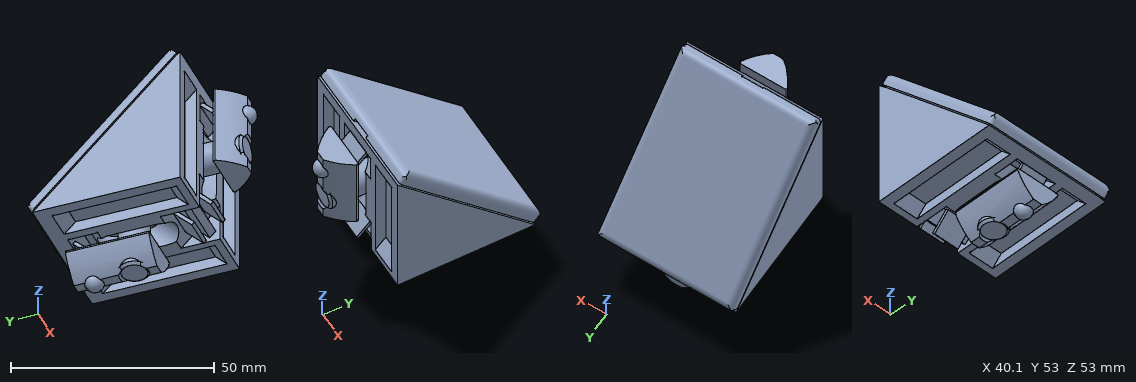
import cadquery as cq
import math

ROOT2 = math.sqrt(2)
SYMMETRY_NORMAL = (0, 1, -1)

width = 40.1
leg = 39.0
pocket_depth = 3.0
pocket_bottom = 2.1
pocket_top = 35.0
side_pocket_width = 8.0
side_pocket_x = 12.95
window_width = 13.0
window_bottom = 27.05
corner_width = 13.85
corner_cut = 10.35
corner_floor = corner_cut / ROOT2

rib_thickness = 2.3
rib_tip = 2.75
tab_width = 8.0
tab_thickness = 1.0
inner_tab_along = 3.0
inner_tab_tip = 0.5
outer_tab_along = 23.2
outer_tab_tip = 20.15
outer_tab_root = pocket_top / ROOT2

slot_radius = 4.4
slot_low = 13.2
slot_high = 24.95
slot_depth = 6.15

cover_gap = 0.4
cover_length = 54.2
cover_thickness = 3.5
cover_edge_radius = 2.0
cover_corner_radius = 1.0
cover_base = leg / ROOT2 + cover_gap
cover_notch_width = 6.15
cover_notch_depth = 6.0
cover_notch_height = 0.75
ridge_length = 34.05

nut_gap = 3.55
nut_height = 6.95
nut_length = 22.05
nut_end = 13.4
nut_half_width = 6.95
nut_shoulder = 0.6
nut_back_half_width = 6.8
nut_nose_half_width = 1.45
nut_flank_half_width = 5.05
nut_flank_height = 3.45
ball_radius = 2.5
ball_place = 30.5
ball_center = 9.9

screw_diameter = 8.0
screw_tip_diameter = 6.6
screw_place = 19.95
screw_reach = 9.9


def mirrored(body):
    """The same body on the other mounting face."""
    return body.mirror(SYMMETRY_NORMAL, (0, 0, 0))


def side_profile(points, depth):
    """A prism along X, centred on X = 0, from (Y, Z) points."""
    return cq.Workplane("YZ").polyline(points).close().extrude(depth / 2, both=True)


def sloping_block(size_x, along_min, along_max, low, high):
    """A block parallel to the sloping side: along runs down the slope, low and high away from the corner."""
    plane = cq.Plane(origin=(0, 0, 0), xDir=(1, 0, 0), normal=(0, 1, 1))
    return (
        cq.Workplane(plane)
        .workplane(offset=low)
        .center(0, (along_min + along_max) / 2)
        .rect(size_x, along_max - along_min)
        .extrude(high - low)
    )


def pocket(size_x, bottom):
    """A shallow pocket in the -Y face with both ends sloping at 45 degrees."""
    return side_profile(
        [
            (0, bottom),
            (0, pocket_top),
            (pocket_depth, pocket_top - pocket_depth),
            (pocket_depth, bottom + pocket_depth),
        ],
        size_x,
    )


def screw_slot():
    """A blind slot: its upper end runs square to the face, its lower end rises at 45 degrees."""
    middle = side_profile(
        [
            (0, slot_low),
            (0, slot_high),
            (slot_depth, slot_high),
            (slot_depth, slot_low + slot_depth),
        ],
        2 * slot_radius,
    )
    upper_end = cq.Workplane("XZ", origin=(0, 0, slot_high)).circle(slot_radius).extrude(-slot_depth)
    slope = cq.Plane(origin=(0, 0, slot_low), xDir=(1, 0, 0), normal=(0, 1, 1))
    reach = slot_depth * ROOT2 + slot_radius
    lower_end = cq.Workplane(slope).circle(slot_radius).extrude(reach, both=True)
    depth_limit = cq.Workplane("XY").box(width, slot_depth, 2 * leg, centered=(True, False, True))
    return middle.union(upper_end).union(lower_end.intersect(depth_limit))


def tab(along, tip, root):
    return sloping_block(tab_width, -along - tab_thickness, -along, tip, root)


def make_bracket():
    body = side_profile([(0, 0), (leg, 0), (0, leg)], width)
    body = body.cut(side_profile([(0, 0), (corner_cut, 0), (0, corner_cut)], corner_width))

    recesses = [pocket(window_width, window_bottom), screw_slot()]
    for x in (-side_pocket_x, side_pocket_x):
        recesses.append(pocket(side_pocket_width, pocket_bottom).translate((x, 0, 0)))
    for recess in recesses:
        body = body.cut(recess).cut(mirrored(recess))

    tabs = [
        tab(inner_tab_along, inner_tab_tip, corner_floor),
        tab(outer_tab_along, outer_tab_tip, outer_tab_root),
    ]
    for guide in tabs:
        body = body.union(guide).union(mirrored(guide))

    rib = sloping_block(corner_width, -rib_thickness / 2, rib_thickness / 2, rib_tip, corner_floor)
    return body.union(rib)


def make_cover():
    half = cover_length / 2
    top = cover_base + cover_thickness
    plate = sloping_block(width, -half, half, cover_base, top)
    outward = cq.Vector(0, 1, 1)
    rounded_corners = plate.edges(cq.selectors.ParallelDirSelector(outward)).fillet(cover_corner_radius)
    rounded_top = plate.faces(cq.selectors.DirectionMinMaxSelector(outward)).edges().fillet(cover_edge_radius)
    plate = rounded_top.intersect(rounded_corners)

    notch = sloping_block(
        cover_notch_width, -half, -half + cover_notch_depth, cover_base, cover_base + cover_notch_height
    )
    ridge = sloping_block(
        ridge_length, -rib_thickness / 2, rib_thickness / 2, cover_base - cover_gap, cover_base
    )
    return plate.cut(notch).union(ridge)


def make_screw():
    """A plain screw standing on the floor of the slot, with a chamfered tip."""
    return (
        cq.Workplane("XZ", origin=(0, slot_depth, screw_place))
        .circle(screw_diameter / 2)
        .extrude(slot_depth + screw_reach)
        .faces("<Y")
        .chamfer((screw_diameter - screw_tip_diameter) / 2)
    )


def make_nut(screw):
    """A slot nut that fits around the screw, with a 45 degree flare from the screw tip to the nose."""
    back = -nut_gap
    shoulder = back - nut_shoulder
    flank = back - nut_flank_height
    nose = back - nut_height
    body = (
        cq.Workplane("XY", origin=(0, 0, nut_end))
        .moveTo(-nut_back_half_width, back)
        .lineTo(nut_back_half_width, back)
        .lineTo(nut_half_width, shoulder)
        .threePointArc((nut_flank_half_width, flank), (nut_nose_half_width, nose))
        .lineTo(-nut_nose_half_width, nose)
        .threePointArc((-nut_flank_half_width, flank), (-nut_half_width, shoulder))
        .close()
        .extrude(nut_length)
    )
    tip_radius = screw_tip_diameter / 2
    flare_height = nut_gap + nut_height - screw_reach
    mouth = cq.Workplane(
        cq.Solid.makeCone(
            tip_radius,
            tip_radius + flare_height,
            flare_height,
            pnt=cq.Vector(0, -screw_reach, screw_place),
            dir=cq.Vector(0, -1, 0),
        )
    )
    ball = cq.Workplane("XY").sphere(ball_radius).translate((0, -ball_center, ball_place))
    return body.union(ball).cut(screw).cut(mouth)


bracket = make_bracket()
cover = make_cover()
screw = make_screw()
nut = make_nut(screw)

bodies = [bracket, cover]
for fastener in (nut, screw):
    bodies.append(fastener)
    bodies.append(mirrored(fastener))

result = cq.Compound.makeCompound([body.solids().val() for body in bodies])